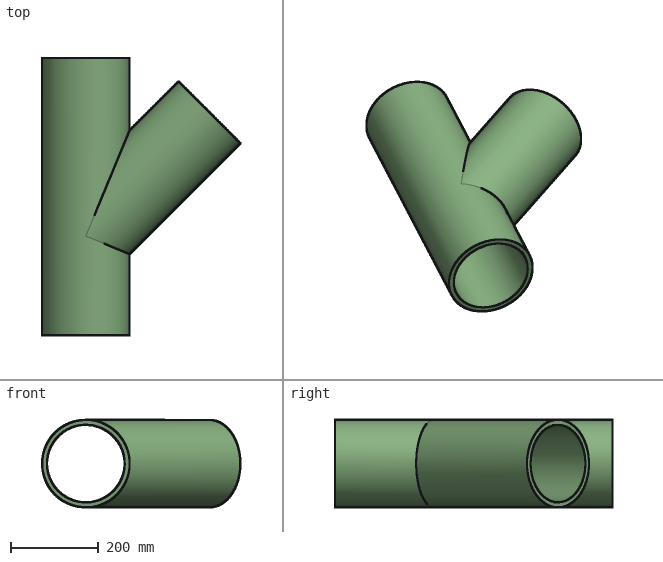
import cadquery as cq
import math

main_length = 632.0
outer_diameter = 200.0
bore_diameter = 176.5
branch_length = 398.0
branch_angle = math.radians(45)
junction_distance = 226.0

junction = cq.Vector(0, 0, 0)
main_start = cq.Vector(0, -junction_distance, 0)
main_direction = cq.Vector(0, 1, 0)
branch_direction = cq.Vector(math.sin(branch_angle), math.cos(branch_angle), 0)


def wye(diameter):
    """Solid main cylinder joined with the slanted branch cylinder."""
    radius = diameter / 2
    main = cq.Solid.makeCylinder(radius, main_length, main_start, main_direction)
    branch = cq.Solid.makeCylinder(radius, branch_length, junction, branch_direction)
    return cq.Workplane(obj=main).union(cq.Workplane(obj=branch))


result = wye(outer_diameter).cut(wye(bore_diameter))